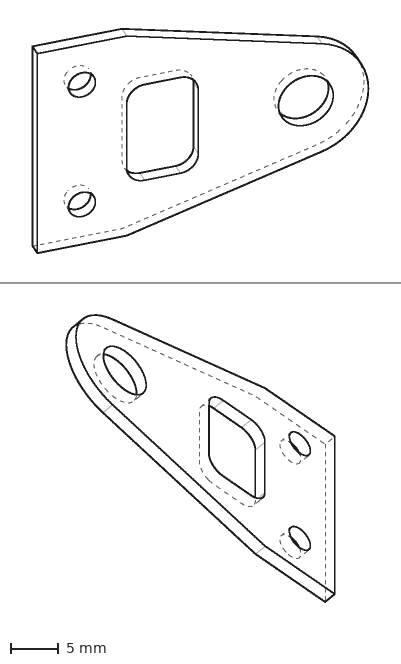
import cadquery as cq
import math

length = 37.0
width = 25.0
thickness = 1.5

nose_radius = 7.0
nose_hole_diameter = 6.1
nose_y = length - nose_radius

straight_length = 10.0
half_width = width / 2

mount_hole_diameter = 3.0
mount_hole_spacing = 15.0
mount_hole_y = straight_length / 2

window_length = 8.0
window_width = 12.0
window_corner_radius = 2.0
window_y = straight_length + window_length / 2


def plate():
    """Tapered outline whose sloping sides run tangent into the nose."""
    taper_length = nose_y - straight_length
    corner_distance = math.hypot(taper_length, half_width)
    taper_angle = math.atan2(half_width, taper_length) - math.asin(nose_radius / corner_distance)
    tangent_y = nose_y + nose_radius * math.sin(taper_angle)
    tangent_z = nose_radius * math.cos(taper_angle)
    return (
        cq.Workplane("YZ")
        .moveTo(0, -half_width)
        .lineTo(straight_length, -half_width)
        .lineTo(tangent_y, -tangent_z)
        .threePointArc((length, 0), (tangent_y, tangent_z))
        .lineTo(straight_length, half_width)
        .lineTo(0, half_width)
        .close()
        .extrude(thickness)
    )


def round_cutter(y, z, diameter):
    """Cylinder through the full thickness at (y, z)."""
    return cq.Workplane("YZ").center(y, z).circle(diameter / 2).extrude(thickness)


def window_cutter():
    """Rectangular block with rounded corners."""
    return (
        cq.Workplane("YZ")
        .center(window_y, 0)
        .rect(window_length, window_width)
        .extrude(thickness)
        .edges("|X")
        .fillet(window_corner_radius)
    )


result = plate().cut(window_cutter())
result = result.cut(round_cutter(nose_y, 0, nose_hole_diameter))
for side in (-1, 1):
    mount_hole_z = side * mount_hole_spacing / 2
    result = result.cut(round_cutter(mount_hole_y, mount_hole_z, mount_hole_diameter))